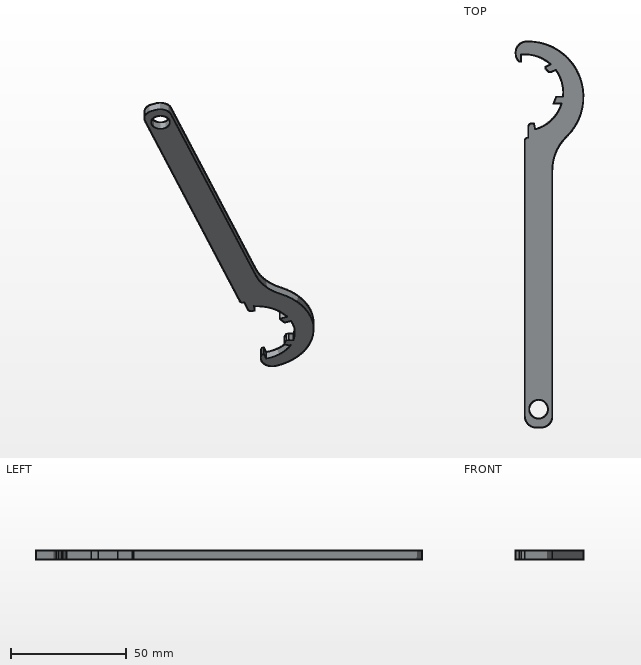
import cadquery as cq
import math

thickness = 4.0

handle_width = 12.0
handle_corner_radius = 5.0
shoulder_y = 125.4
shoulder_chamfer = 0.8
hang_hole_diameter = 8.0
hang_hole_y = 8.0

outer_radius = 24.0
outer_x = -4.55
inner_radius = 16.45
inner_x = -5.85
inner_y = 144.9
nose_radius = 5.0
nose_x = -5.0
overall_length = 167.06
outer_y = overall_length - outer_radius
neck_radius = 20.0

claw_bend = (-9.3, 159.3)
claw_tip_y = 158.2
claw_outer_x = -8.4
claw_inner_x = -7.5

upper_tooth_start_y = 157.1
upper_tooth_tip = [(3.5, 156.3), (2.9, 156.0), (2.9, 155.3), (4.4, 153.7), (5.6, 153.8)]
upper_tooth_end_y = 154.6
side_tooth_top_y = 143.15
side_tooth_tip_top_x = 7.6
side_tooth_bottom_y = 140.1
side_tooth_tip_bottom_x = 6.4
heel_tooth_left_x = -4.5
heel_tooth_right_x = -1.4
heel_tooth_tip_y = 131.6
heel_tooth_tip_left_x = -3.0
heel_tooth_tip_right_x = -2.0
heel_tooth_side_y = 130.1


def inner_at_y(y):
    """Point on the right half of the inner arc at height y."""
    return (inner_x + math.sqrt(inner_radius**2 - (y - inner_y) ** 2), y)


def inner_at_x(x, side):
    """Point on the inner arc at x; side is +1 for the upper half, -1 for the lower."""
    return (x, inner_y + side * math.sqrt(inner_radius**2 - (x - inner_x) ** 2))


def arc_middle(center, start, end):
    """Middle point of the short arc about center from start to end."""
    radius = math.dist(center, start)
    dx = (start[0] + end[0]) / 2 - center[0]
    dy = (start[1] + end[1]) / 2 - center[1]
    length = math.hypot(dx, dy)
    return (center[0] + radius * dx / length, center[1] + radius * dy / length)


def point_toward(center, target, distance):
    """Point at the given distance from center along the line to target."""
    share = distance / math.dist(center, target)
    return (
        center[0] + share * (target[0] - center[0]),
        center[1] + share * (target[1] - center[1]),
    )


def make_profile():
    half_width = handle_width / 2
    outer_center = (outer_x, outer_y)
    inner_center = (inner_x, inner_y)

    neck_x = half_width + neck_radius
    neck_drop = math.sqrt((outer_radius + neck_radius) ** 2 - (neck_x - outer_x) ** 2)
    neck_center = (neck_x, outer_y - neck_drop)
    neck_start = (half_width, neck_center[1])
    neck_end = point_toward(outer_center, neck_center, outer_radius)

    nose_rise = math.sqrt((outer_radius - nose_radius) ** 2 - (nose_x - outer_x) ** 2)
    nose_center = (nose_x, outer_y + nose_rise)
    nose_start = point_toward(outer_center, nose_center, outer_radius)
    nose_left = (nose_x - nose_radius, nose_center[1])

    claw_root = inner_at_x(claw_inner_x, 1)
    upper_tooth_start = inner_at_y(upper_tooth_start_y)
    upper_tooth_end = inner_at_y(upper_tooth_end_y)
    side_tooth_start = inner_at_y(side_tooth_top_y)
    side_tooth_end = inner_at_y(side_tooth_bottom_y)
    heel_tooth_start = inner_at_x(heel_tooth_right_x, -1)

    profile = (
        cq.Workplane("XY")
        .moveTo(-half_width, 0)
        .lineTo(half_width, 0)
        .lineTo(*neck_start)
        .threePointArc(arc_middle(neck_center, neck_start, neck_end), neck_end)
        .threePointArc((outer_x + outer_radius, outer_y), nose_start)
        .threePointArc(arc_middle(nose_center, nose_start, nose_left), nose_left)
        .tangentArcPoint(claw_bend, relative=False)
        .lineTo(claw_outer_x, claw_tip_y)
        .lineTo(claw_inner_x, claw_tip_y)
        .lineTo(*claw_root)
        .threePointArc(arc_middle(inner_center, claw_root, upper_tooth_start), upper_tooth_start)
    )
    for corner in upper_tooth_tip:
        profile = profile.lineTo(*corner)
    profile = (
        profile.lineTo(*upper_tooth_end)
        .threePointArc(arc_middle(inner_center, upper_tooth_end, side_tooth_start), side_tooth_start)
        .lineTo(side_tooth_tip_top_x, side_tooth_top_y)
        .lineTo(side_tooth_tip_bottom_x, side_tooth_bottom_y)
        .lineTo(*side_tooth_end)
        .threePointArc(arc_middle(inner_center, side_tooth_end, heel_tooth_start), heel_tooth_start)
    )
    return (
        profile.lineTo(heel_tooth_tip_right_x, heel_tooth_tip_y)
        .lineTo(heel_tooth_tip_left_x, heel_tooth_tip_y)
        .tangentArcPoint((heel_tooth_left_x, heel_tooth_side_y), relative=False)
        .lineTo(heel_tooth_left_x, shoulder_y)
        .lineTo(shoulder_chamfer - half_width, shoulder_y)
        .lineTo(-half_width, shoulder_y - shoulder_chamfer)
        .close()
    )


def make_wrench():
    body = make_profile().extrude(thickness)
    body = body.faces("<Y").edges("|Z").fillet(handle_corner_radius)
    hole = cq.Workplane("XY").center(0, hang_hole_y).circle(hang_hole_diameter / 2)
    return body.cut(hole.extrude(thickness))


result = make_wrench()